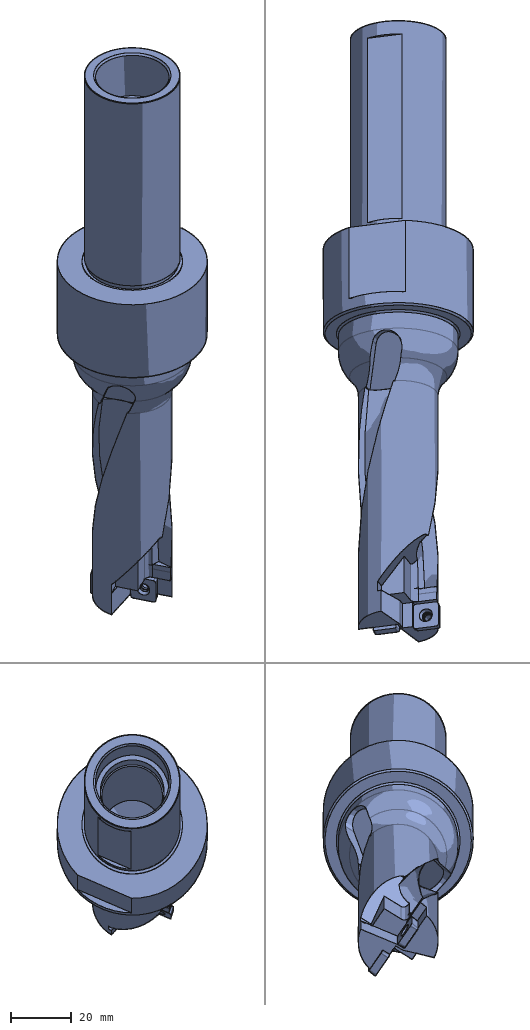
import cadquery as cq
import math

total_height = 212.5
body_bottom = 1.3
seat_top = 10.0
flute_bottom = 14.9
pocket_shoulder = 13.4
flute_center_height = 29.8
pocket_top = 31.0
runout_height = 84.5
neck_bottom = runout_height
neck_top = 100.5
flange_bottom = 106.9
flange_top = 137.0
shank_bottom = 138.3

drill_radius = 26.4 / 2
neck_radius = 39.5 / 2
flange_radius = 49.5 / 2
shank_radius = 31.7 / 2
relief_radius = 30.5 / 2
face_groove_radius = 33.2 / 2
face_groove_depth = 0.5
neck_arc_radius = 12.8
neck_corner = 0.6
flange_chamfer = 0.6
shank_chamfer = 0.2

bore_radius = 20.0 / 2
bore_step_radius = 21.0 / 2
counterbore_radius = 24.2 / 2
bore_chamfer = 0.6
counterbore_depth = 17.0
bore_step_depth = 25.5
bore_depth = 85.0
bore_point_angle = 118

shank_flat_offset = 14.7
shank_flat_bottom = 141.5
shank_flat_top = 207.6
flange_flat_offset = 22.7
flange_flat_bottom = 111.5
flat_overshoot = 2.1

flute_lead = 259.3
flute_half_width = 5.5
flute_deep_radius = 6.8
flute_shallow_radius = 9.5
flute_outer_radius = 17.0
runout_width = 9.8
runout_tilt = 22
runout_end_x = 2.0
runout_end_height = 95.2
runout_length = 25.5
runout_floor_start = 6.8
runout_floor_end = 18.3

pocket_wall_x = -3.0
pocket_top_x = 11.5
pocket_reach = 17.0
pocket_shelf_y = -8.7
pocket_channel_x = 4.9
pocket_channel_radius = 2.1
pocket_ramp_depth = 0.6
pocket_ramp_top = 13.0
end_relief_angle = 5

insert_size = 8.7
insert_thickness = 2.8
insert_corner = 0.9
insert_relief = 7
insert_bore_diameter = 3.2
insert_bore_depth = 2.0
insert_sink_diameter = 4.5
insert_sink_angle = 60
inner_insert_x = 3.8
inner_insert_bottom = 0.0
outer_insert_x = -9.5
outer_insert_bottom = 0.5
seat_gap = 0.2
core_wall_x = -1.5
screw_hole_diameter = 2.5
screw_hole_depth = 3.2


def box_between(low, high):
    size = [b - a for a, b in zip(low, high)]
    return cq.Workplane("XY").box(*size, centered=False).translate(tuple(low))


def make_turned_blank():
    """Drill, flared neck, flange and shank as one revolved profile."""
    flare = 2 * math.atan((neck_radius - drill_radius) / (neck_top - neck_bottom))

    def neck_arc_point(angle):
        return (
            neck_radius - neck_arc_radius * (1 - math.cos(angle)),
            neck_top - neck_arc_radius * math.sin(angle),
        )

    lower_arc_radius = (neck_top - neck_bottom) / math.sin(flare) - neck_arc_radius
    lower_arc_middle = (
        drill_radius + lower_arc_radius * (1 - math.cos(flare / 2)),
        neck_bottom + lower_arc_radius * math.sin(flare / 2),
    )
    profile = (
        cq.Workplane("XZ")
        .moveTo(0, body_bottom)
        .lineTo(drill_radius, body_bottom)
        .lineTo(drill_radius, neck_bottom)
        .threePointArc(lower_arc_middle, neck_arc_point(flare))
        .threePointArc(neck_arc_point(flare / 2), (neck_radius, neck_top))
        .lineTo(neck_radius, flange_bottom - neck_corner)
        .lineTo(neck_radius + neck_corner, flange_bottom)
        .lineTo(flange_radius - flange_chamfer, flange_bottom)
        .lineTo(flange_radius, flange_bottom + flange_chamfer)
        .lineTo(flange_radius, flange_top)
        .lineTo(face_groove_radius, flange_top)
        .lineTo(face_groove_radius, flange_top - face_groove_depth)
        .lineTo(relief_radius, flange_top - face_groove_depth)
        .lineTo(relief_radius, shank_bottom)
        .lineTo(shank_radius, shank_bottom)
        .lineTo(shank_radius, total_height - shank_chamfer)
        .lineTo(shank_radius - shank_chamfer, total_height)
        .lineTo(0, total_height)
        .close()
    )
    return profile.revolve(360, (0, 0), (0, 1))


def make_bore():
    """Stepped coolant bore with a conical bottom."""
    point_depth = bore_radius / math.tan(math.radians(bore_point_angle / 2))
    profile = (
        cq.Workplane("XZ")
        .moveTo(0, total_height)
        .lineTo(counterbore_radius + bore_chamfer, total_height)
        .lineTo(counterbore_radius, total_height - bore_chamfer)
        .lineTo(counterbore_radius, total_height - counterbore_depth)
        .lineTo(bore_step_radius, total_height - counterbore_depth)
        .lineTo(bore_step_radius, total_height - bore_step_depth)
        .lineTo(bore_radius, total_height - bore_step_depth)
        .lineTo(bore_radius, total_height - bore_depth)
        .lineTo(0, total_height - bore_depth - point_depth)
        .close()
    )
    return profile.revolve(360, (0, 0), (0, 1))


def make_flats():
    """Clearance along the +Y side of the shank and of the flange."""
    shank_flat = box_between(
        (-shank_radius, shank_flat_offset, shank_flat_bottom),
        (shank_radius, shank_radius + flat_overshoot, shank_flat_top),
    )
    flange_flat = box_between(
        (-flange_radius, flange_flat_offset, flange_flat_bottom),
        (flange_radius, flange_radius + flat_overshoot, flange_top),
    )
    return shank_flat.union(flange_flat)


def flute_angle(height):
    """Direction of the flute on the +X side, in degrees about the axis."""
    return 360 / flute_lead * (height - flute_center_height)


def make_flute():
    """Right-hand helical flute, starting on the +X side of the tip."""
    length = runout_height - flute_bottom
    return (
        cq.Workplane("XY")
        .moveTo(flute_outer_radius, flute_half_width)
        .lineTo(flute_deep_radius, flute_half_width)
        .threePointArc((flute_deep_radius, 0), (flute_shallow_radius, -flute_half_width))
        .lineTo(flute_outer_radius, -flute_half_width)
        .close()
        .twistExtrude(length, 360 * length / flute_lead)
        .rotate((0, 0, 0), (0, 0, 1), flute_angle(flute_bottom))
        .translate((0, 0, flute_bottom))
    )


def make_runout():
    """Straight round-ended slot on the -Y side, its floor rising out through the neck."""
    slot = (
        cq.Workplane("XZ")
        .center(-runout_length / 2, 0)
        .slot2D(runout_length + runout_width, runout_width)
        .extrude(flange_radius)
        .rotate((0, 0, 0), (0, 1, 0), runout_tilt - 90)
        .translate((runout_end_x, 0, runout_end_height))
    )
    rising_floor = (
        cq.Workplane("YZ", origin=(-neck_radius, 0, 0))
        .polyline([
            (-runout_floor_start, runout_height),
            (-runout_floor_end, neck_top),
            (-flange_radius, neck_top),
            (-flange_radius, runout_height),
        ])
        .close()
        .extrude(2 * neck_radius)
    )
    return slot.intersect(rising_floor)


def make_chip_pocket():
    """Opening on the -Y side whose sloped wall widens the flute towards the tip.

    A shelf lies under the wall, and a rounded channel and a ramp lead to the seat.
    """
    sloped_opening = (
        cq.Workplane("XZ", origin=(0, pocket_reach, 0))
        .moveTo(pocket_wall_x, seat_top)
        .lineTo(pocket_wall_x, pocket_shoulder)
        .lineTo(pocket_top_x, pocket_top)
        .lineTo(pocket_reach, pocket_top)
        .lineTo(pocket_reach, seat_top)
        .close()
        .extrude(2 * pocket_reach)
    )
    floor_section = (
        cq.Workplane("XY", origin=(0, 0, seat_top))
        .polyline([
            (pocket_wall_x, -pocket_reach),
            (pocket_wall_x, pocket_shelf_y),
            (pocket_channel_x, pocket_shelf_y),
            (pocket_channel_x, 0),
            (pocket_reach, 0),
            (pocket_reach, -pocket_reach),
        ])
        .close()
        .extrude(pocket_top - seat_top)
        .edges(cq.NearestToPointSelector((pocket_channel_x, 0, (seat_top + pocket_top) / 2)))
        .fillet(pocket_channel_radius)
    )
    ramp = (
        cq.Workplane("YZ", origin=(pocket_channel_x, 0, 0))
        .polyline([
            (0, seat_top),
            (pocket_ramp_depth, pocket_ramp_top),
            (pocket_ramp_depth, flute_bottom),
            (0, flute_bottom),
        ])
        .close()
        .extrude(pocket_reach)
    )
    return sloped_opening.intersect(floor_section).union(ramp)


def make_inner_seat():
    """Tip clearance of the inner insert, with the seat plane behind it."""
    seat_edge = inner_insert_x - insert_size / 2 - seat_gap
    return (
        cq.Workplane("XY")
        .polyline([
            (pocket_wall_x, -pocket_reach),
            (pocket_wall_x, -drill_radius),
            (seat_edge, 0),
            (seat_edge, insert_thickness),
            (pocket_reach, insert_thickness),
            (pocket_reach, -pocket_reach),
        ])
        .close()
        .extrude(seat_top)
    )


def make_outer_seat():
    """Tip clearance of the outer insert, leaving a thin wall beside the inner one."""
    seat_edge = outer_insert_x + insert_size / 2 + seat_gap
    return (
        cq.Workplane("XY")
        .polyline([
            (-pocket_wall_x, pocket_reach),
            (core_wall_x, insert_thickness),
            (core_wall_x, 0),
            (seat_edge, 0),
            (seat_edge, -insert_thickness),
            (-pocket_reach, -insert_thickness),
            (-pocket_reach, pocket_reach),
        ])
        .close()
        .extrude(seat_top)
    )


def make_end_relief():
    """Slight upward slope of the tip on the +Y half."""
    rise = pocket_reach * math.tan(math.radians(end_relief_angle))
    return (
        cq.Workplane("YZ", origin=(-pocket_reach, 0, 0))
        .polyline([
            (0, body_bottom),
            (pocket_reach, body_bottom),
            (pocket_reach, body_bottom + rise),
        ])
        .close()
        .extrude(2 * pocket_reach)
    )


def make_insert():
    """Square insert facing -Y, centred in X, standing on Z = 0, its face at Y = 0."""
    plate = (
        cq.Workplane("XZ")
        .sketch()
        .rect(insert_size, insert_size)
        .vertices()
        .fillet(insert_corner)
        .finalize()
        .extrude(-insert_thickness, taper=insert_relief)
    )
    return (
        plate.faces("<Y")
        .workplane(origin=(0, 0, 0))
        .cboreHole(screw_hole_diameter, insert_bore_diameter, insert_bore_depth)
        .faces("<Y")
        .workplane(origin=(0, 0, 0))
        .cskHole(screw_hole_diameter, insert_sink_diameter, insert_sink_angle)
        .translate((0, 0, insert_size / 2))
    )


def make_screw_hole():
    """Screw hole behind an insert, in the same place as make_insert."""
    return (
        cq.Workplane("XZ", origin=(0, insert_thickness, insert_size / 2))
        .circle(screw_hole_diameter / 2)
        .extrude(-screw_hole_depth)
    )


def place_inner(shape):
    return shape.translate((inner_insert_x, 0, inner_insert_bottom))


def place_outer(shape):
    turned = shape.rotate((0, 0, 0), (0, 0, 1), 180)
    return turned.translate((outer_insert_x, 0, outer_insert_bottom))


def make_drill_body():
    body = make_turned_blank().cut(make_bore()).cut(make_flats())
    for turn in (0, 180):
        for cutter in (make_flute(), make_runout(), make_chip_pocket()):
            body = body.cut(cutter.rotate((0, 0, 0), (0, 0, 1), turn))
    body = body.cut(make_inner_seat()).cut(make_outer_seat()).cut(make_end_relief())
    for place in (place_inner, place_outer):
        body = body.cut(place(make_screw_hole()))
    return body


drill_body = make_drill_body()
inserts = [place(make_insert()) for place in (place_inner, place_outer)]

result = cq.Compound.makeCompound([drill_body.val(), *[insert.val() for insert in inserts]])